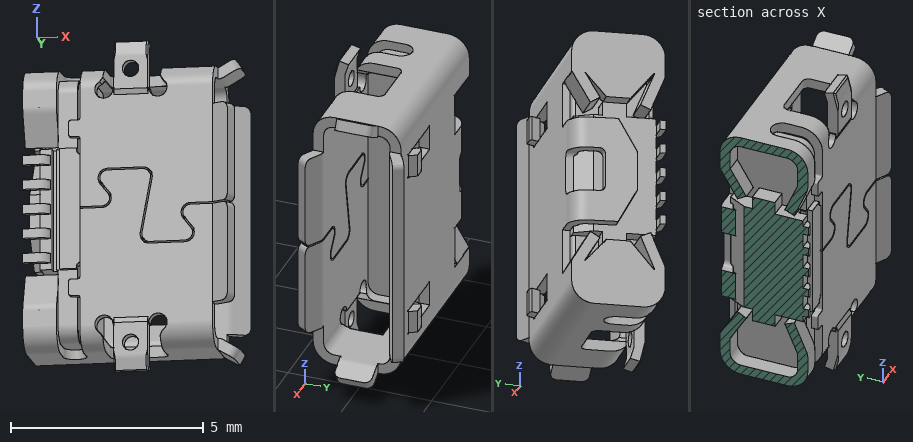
import cadquery as cq
import math


SHEET = 0.3
SHELL_LENGTH = 5.01
HALF_WIDTH = 3.75
BACK_Y = 2.5
PLATE_Y = 0.05
WING_Y = 0.0
CORNER_R = 0.6
INNER_CORNER_R = CORNER_R - SHEET
REACH = 8.8
EDGE_TOLERANCE = 0.02

WING_LENGTH = 0.9
PLATE_START = 1.505
SLOT_TOP_Y = 1.36
SLOT_R = (PLATE_START - WING_LENGTH) / 2
LUG_X = 1.21
LUG_Z = 2.11
LUG_WIDTH = 0.44
LUG_R = 0.06

BEND_Z = 2.605
FRONT_FLAP_LENGTH = 0.99
FRONT_FLAP_ANGLE = 23.0
FRONT_BEND_R = 0.44
BACK_FLAP_LENGTH = 0.97
BACK_FLAP_ANGLE = 31.0
CAP_THICKNESS = 0.44
CAP_EDGE_Z = 1.96
CAP_EDGE_Y = (0.93, 1.575)
CAP_FRONT_CORNER = (0.31, 2.69)
CAP_BACK_CORNER = (2.14, 2.59)

CLASP_X = 0.05
CLASP_TILT = 4.0
CLASP_BEND_R = 0.51
CLASP_HALF_WIDTH = 1.42
CLASP_SHOULDER_Y = 1.23
CLASP_END_Y = 0.74
CLASP_END_HALF_WIDTH = 0.54
CLASP_NOTCH_HALF_WIDTH = 0.59
CLASP_NOTCH_Y = 1.575
CLASP_NOTCH_R = 0.16
CLASP_NOTCH_END_X = 0.7

TAB_X = 2.85
WINDOW_LENGTH = 1.51
WINDOW_TOP_Y = 1.46
WINDOW_R = 0.185
WINDOW_Z = 3.12
RELIEF_R = 0.24
RELIEF_OFFSET = 0.71
RELIEF_FLARE_Z = 3.46
TAB_WIDTH = 0.9
TAB_ROOT_Z = 2.97
TAB_STEP_Z = 3.11
TAB_BEND_Z = 4.03
TAB_BEND_R = 0.44
TAB_END_Z = 4.41
TAB_TIP_ANGLE = 14.0
TAB_EDGE_CHAMFER = 0.04
TAB_HOLE_Z = 3.64
TAB_HOLE_R = 0.21

LIP_ANGLE = 30.0
LIP_LENGTH = 0.5
LIP_CORNER_R = 0.19
FRONT_LIP_HALF_WIDTH = 2.64
BACK_LIP_HALF_WIDTH = 3.045
SIDE_LIP_Y = (0.83, 1.87)

FINGER_Z = (2.04, 2.68)
FINGER_OPENING_X = (2.9, 4.47)
FINGER_GAP = 0.035
FINGER_TIP = (3.99, 2.66)
FINGER_TIP_INNER = (4.11, 2.41)
FINGER_CREST_X = (4.07, 4.34)
FINGER_CREST_Y = 2.71
FINGER_CROOK = (4.3, 2.39)

SEAM_WIDTH = 0.04
SEAM_CENTER_X = 3.26
SEAM_HEAD_Z = 0.99
SEAM_NECK_DX = 0.695
SEAM_HEAD_DX = 1.5
SEAM_SLANT_DX = 0.185
SEAM_R = 0.23

BODY_X = CAP_THICKNESS
BODY_HALF_WIDTH = 1.6
BODY_Y = (0.14, 2.3)
BODY_CHAMFER_Y = 1.81
BODY_CHAMFER_X = 0.695
GROOVE_X = 0.75
GROOVE_FLOOR_Y = 0.39
RIDGE_STEP_X = 0.85
RIDGE_X = 0.96
RIDGE_Y = 0.1
RIDGE_CHAMFER = 0.185
COLLAR_X = WING_LENGTH
COLLAR_END_X = 1.41
COLLAR_Y = 0.24
COLLAR_HALF_WIDTH = 3.49
COLLAR_R = 0.405
CROWN_R = 0.11
COLLAR_OPENING_X = 1.07
CORE_END_X = 1.76

PIN_COUNT = 5
PIN_PITCH = 0.65
PIN_WIDTH = 0.255
PIN_Y = -0.03
PIN_BEND_X = 0.47
PIN_BEND_R = 0.27
PIN_THICKNESS = 0.17


def prism_x(points, x0, x1):
    """Extrude a (Y, Z) polygon from x0 to x1."""
    return cq.Workplane("YZ").workplane(offset=x0).polyline(points).close().extrude(x1 - x0)


def prism_y(points, y0, y1):
    """Extrude an (X, Z) polygon from y0 to y1."""
    return cq.Workplane("XZ").workplane(offset=-y0).polyline(points).close().extrude(y0 - y1)


def prism_z(points, z0, z1):
    """Extrude an (X, Y) polygon from z0 to z1."""
    return cq.Workplane("XY").workplane(offset=z0).polyline(points).close().extrude(z1 - z0)


def box(x, y, z):
    """Box spanning the (low, high) pairs along each axis."""
    block = cq.Workplane("XY").box(x[1] - x[0], y[1] - y[0], z[1] - z[0], centered=False)
    return block.translate((x[0], y[0], z[0]))


def edge_box(x, y, z):
    """Selector for an edge centred on the given point."""
    low = (x - EDGE_TOLERANCE, y - EDGE_TOLERANCE, z - EDGE_TOLERANCE)
    high = (x + EDGE_TOLERANCE, y + EDGE_TOLERANCE, z + EDGE_TOLERANCE)
    return cq.selectors.BoxSelector(low, high)


def both_sides(half):
    """Add the mirror image on the other side of Z = 0."""
    return half.union(half.mirror("XY"))


def rounded_bar(x0, x1, y0, y1, half_width, radius):
    """Bar along X, centred on Z = 0, with its four long edges rounded."""
    bar = box((x0, x1), (y0, y1), (-half_width, half_width))
    return bar.edges("|X").fillet(radius)


def tube(x0, x1, y0):
    """Closed rectangular sheet-metal tube between the -Y face y0 and the +Y face."""
    outer = rounded_bar(x0, x1, y0, BACK_Y, HALF_WIDTH, CORNER_R)
    inner = rounded_bar(x0, x1, y0 + SHEET, BACK_Y - SHEET, HALF_WIDTH - SHEET, INNER_CORNER_R)
    return outer.cut(inner)


def wing_flap(face_y, inward, length, angle_deg):
    """Sheet strip bent inward from the face at face_y; inward is the sign of Y towards the middle."""
    angle = math.radians(angle_deg)
    run, drop = length * math.sin(angle), length * math.cos(angle)
    normal_y, normal_z = SHEET * math.cos(angle), SHEET * math.sin(angle)
    offsets = [
        (0, 0),
        (run, -drop),
        (run + normal_y, -drop + normal_z),
        (SHEET, SHEET * math.tan(angle / 2)),
    ]
    return prism_x([(face_y + inward * dy, BEND_Z + dz) for dy, dz in offsets], 0, WING_LENGTH)


def rear_wings():
    """Capped shell ends at the rear, with a flap bent inward from each face."""
    keep = box((0, WING_LENGTH), (WING_Y, BACK_Y), (BEND_Z, HALF_WIDTH))
    wall = tube(0, WING_LENGTH, WING_Y).intersect(keep)
    front_flap = wing_flap(WING_Y, 1, FRONT_FLAP_LENGTH, FRONT_FLAP_ANGLE)
    back_flap = wing_flap(BACK_Y, -1, BACK_FLAP_LENGTH, BACK_FLAP_ANGLE)
    cap_outline = [
        (CAP_EDGE_Y[0], CAP_EDGE_Z),
        (CAP_EDGE_Y[1], CAP_EDGE_Z),
        CAP_BACK_CORNER,
        (BACK_Y, CAP_BACK_CORNER[1]),
        (BACK_Y, HALF_WIDTH),
        (WING_Y, HALF_WIDTH),
        (WING_Y, CAP_FRONT_CORNER[1]),
        CAP_FRONT_CORNER,
    ]
    blank = rounded_bar(0, CAP_THICKNESS, WING_Y, BACK_Y, HALF_WIDTH, CORNER_R)
    cap = prism_x(cap_outline, 0, CAP_THICKNESS).intersect(blank)
    strip = wall.union(front_flap)
    bend = edge_box(WING_LENGTH / 2, WING_Y, BEND_Z)
    strip = strip.edges(bend).fillet(FRONT_BEND_R)
    return both_sides(strip.union(back_flap).union(cap))


def rear_clasp():
    """Tapered, notched strip of the +Y face folded down behind the carrier."""
    lean = math.tan(math.radians(CLASP_TILT))
    thickness_x = SHEET / math.cos(math.radians(CLASP_TILT))
    inner_y = BACK_Y - SHEET
    corner_x = CLASP_X + (BACK_Y - CLASP_END_Y) * lean
    inner_corner_x = CLASP_X + thickness_x + (inner_y - CLASP_END_Y) * lean
    section = prism_z(
        [
            (CLASP_X, CLASP_END_Y),
            (corner_x, BACK_Y),
            (WING_LENGTH, BACK_Y),
            (WING_LENGTH, inner_y),
            (inner_corner_x, inner_y),
            (CLASP_X + thickness_x, CLASP_END_Y),
        ],
        -CLASP_HALF_WIDTH,
        CLASP_HALF_WIDTH,
    )
    section = section.edges(edge_box(corner_x, BACK_Y, 0)).fillet(CLASP_BEND_R)
    section = section.edges(edge_box(inner_corner_x, inner_y, 0)).fillet(CLASP_BEND_R - SHEET)
    outline = [
        (BACK_Y, CLASP_HALF_WIDTH),
        (CLASP_SHOULDER_Y, CLASP_HALF_WIDTH),
        (CLASP_END_Y, CLASP_END_HALF_WIDTH),
        (CLASP_END_Y, -CLASP_END_HALF_WIDTH),
        (CLASP_SHOULDER_Y, -CLASP_HALF_WIDTH),
        (BACK_Y, -CLASP_HALF_WIDTH),
    ]
    notch = box(
        (0, CLASP_NOTCH_END_X),
        (CLASP_NOTCH_Y, BACK_Y),
        (-CLASP_NOTCH_HALF_WIDTH, CLASP_NOTCH_HALF_WIDTH),
    )
    notch = notch.edges("|X and <Y").fillet(CLASP_NOTCH_R).edges("|Y and >X").fillet(CLASP_NOTCH_R)
    return section.intersect(prism_x(outline, 0, WING_LENGTH)).cut(notch)


def wing_slot():
    """Round-ended cut that parts the wings from the plate on the -Y side and both flanks."""
    middle_x = (WING_LENGTH + PLATE_START) / 2
    straight_top = SLOT_TOP_Y - SLOT_R
    straight = box((WING_LENGTH, PLATE_START), (-REACH, straight_top), (-REACH, REACH))
    end = cq.Workplane("XY").center(middle_x, straight_top).circle(SLOT_R).extrude(REACH, both=True)
    return straight.union(end)


def add_plate_lugs(body):
    """Add the two rear lugs of the -Y plate, rounding their corners and roots."""
    lug = box(
        (LUG_X, PLATE_START + SHEET),
        (PLATE_Y, PLATE_Y + SHEET),
        (LUG_Z - LUG_WIDTH / 2, LUG_Z + LUG_WIDTH / 2),
    )
    body = body.union(both_sides(lug.edges("|Y and <X").fillet(LUG_R)))
    for side in (-1, 1):
        for end in (-1, 1):
            root_z = side * (LUG_Z + end * LUG_WIDTH / 2)
            root = edge_box(PLATE_START, PLATE_Y + SHEET / 2, root_z)
            body = body.edges(root).fillet(LUG_R)
    return body


def collar_openings():
    """Cut-backs of the +Y plate, beside the clasp, that bare the rounded edge of the collar."""
    return both_sides(
        box((WING_LENGTH, COLLAR_OPENING_X), (BACK_Y - SHEET, BACK_Y), (CLASP_HALF_WIDTH, BEND_Z))
    )


def side_windows():
    """Openings in the flanks, with round reliefs beside each solder tab."""
    half_length = WINDOW_LENGTH / 2
    opening = box(
        (TAB_X - half_length, TAB_X + half_length), (-REACH, WINDOW_TOP_Y), (WINDOW_Z, REACH)
    )
    opening = opening.edges("|Z and >Y").fillet(WINDOW_R)
    reliefs = (
        cq.Workplane("XZ")
        .workplane(offset=-WINDOW_TOP_Y)
        .pushPoints([(TAB_X - RELIEF_OFFSET, WINDOW_Z), (TAB_X + RELIEF_OFFSET, WINDOW_Z)])
        .circle(RELIEF_R)
        .extrude(REACH)
    )
    relief_reach = RELIEF_OFFSET + RELIEF_R
    flare_outline = [
        (TAB_X - half_length, RELIEF_FLARE_Z),
        (TAB_X - relief_reach, WINDOW_Z),
        (TAB_X + relief_reach, WINDOW_Z),
        (TAB_X + half_length, RELIEF_FLARE_Z),
    ]
    flare = prism_y(flare_outline, -REACH, WINDOW_TOP_Y)
    return both_sides(opening.union(reliefs).union(flare))


def solder_tabs():
    """Pads stepped out from the -Y plate, with a hole and a tip bent towards +Y."""
    tilt = math.tan(math.radians(TAB_TIP_ANGLE))
    tip_shift = (TAB_END_Z - TAB_BEND_Z) * tilt
    section = [
        (PLATE_Y, TAB_ROOT_Z),
        (WING_Y, TAB_STEP_Z),
        (WING_Y, TAB_BEND_Z),
        (tip_shift, TAB_END_Z),
        (tip_shift + SHEET, TAB_END_Z - SHEET * tilt),
        (WING_Y + SHEET, TAB_BEND_Z),
        (WING_Y + SHEET, TAB_STEP_Z),
        (PLATE_Y + SHEET, TAB_ROOT_Z),
    ]
    tab = prism_x(section, TAB_X - TAB_WIDTH / 2, TAB_X + TAB_WIDTH / 2)
    tip_middle_z = (TAB_BEND_Z + TAB_END_Z) / 2
    for edge_x in (TAB_X - TAB_WIDTH / 2, TAB_X + TAB_WIDTH / 2):
        tip_edges = edge_box(edge_x, WING_Y + tip_shift / 2, tip_middle_z)
        tab = tab.edges(tip_edges).chamfer(TAB_EDGE_CHAMFER)
    tab = tab.edges(edge_box(TAB_X, tip_shift, TAB_END_Z)).chamfer(TAB_EDGE_CHAMFER)
    bend = edge_box(TAB_X, WING_Y, TAB_BEND_Z)
    tab = tab.edges(bend).fillet(TAB_BEND_R)
    hole = cq.Workplane("XZ").center(TAB_X, TAB_HOLE_Z).circle(TAB_HOLE_R).extrude(REACH, both=True)
    return both_sides(tab.cut(hole))


def lip(width):
    """Lip flaring towards +Y from a wall whose outer face is Y = 0, centred on Z = 0."""
    angle = math.radians(LIP_ANGLE)
    run, rise = LIP_LENGTH * math.cos(angle), LIP_LENGTH * math.sin(angle)
    half_angle = angle / 2
    plain = (
        cq.Workplane("XY")
        .workplane(offset=-width / 2)
        .lineTo(run, rise)
        .lineTo(run + SHEET * math.sin(angle), rise - SHEET * math.cos(angle))
        .lineTo(SHEET * math.sin(angle), -SHEET * math.cos(angle))
        .threePointArc((SHEET * math.sin(half_angle), -SHEET * math.cos(half_angle)), (0, -SHEET))
        .close()
        .extrude(width)
    )
    end_corners = plain.faces(">X").edges("not |Z")
    return end_corners.fillet(LIP_CORNER_R).translate((SHELL_LENGTH, 0, 0))


def mouth_lips():
    """Lips on all four walls; the -Y lip is split in two by the seam."""
    back = lip(2 * BACK_LIP_HALF_WIDTH).translate((0, BACK_Y, 0))
    front_half = lip(FRONT_LIP_HALF_WIDTH).mirror("XZ")
    front = both_sides(front_half.translate((0, PLATE_Y, FRONT_LIP_HALF_WIDTH / 2)))
    side_middle_y = sum(SIDE_LIP_Y) / 2
    side = lip(SIDE_LIP_Y[1] - SIDE_LIP_Y[0]).rotate((0, 0, 0), (1, 0, 0), 90)
    sides = both_sides(side.translate((0, side_middle_y, HALF_WIDTH)))
    return back.union(front).union(sides)


def latch_openings():
    """Openings in the +Y plate around the latch fingers."""
    z_range = (FINGER_Z[0] - FINGER_GAP, FINGER_Z[1] + FINGER_GAP)
    return both_sides(box(FINGER_OPENING_X, (BACK_Y - SHEET, BACK_Y), z_range))


def latch_fingers():
    """Hooked strips that rise out of the +Y plate openings."""
    root_x = FINGER_OPENING_X[1]
    section = [
        FINGER_TIP,
        (FINGER_CREST_X[0], FINGER_CREST_Y),
        (FINGER_CREST_X[1], FINGER_CREST_Y),
        (root_x, BACK_Y),
        (root_x, BACK_Y - SHEET),
        FINGER_CROOK,
        FINGER_TIP_INNER,
    ]
    return both_sides(prism_z(section, *FINGER_Z))


def seam():
    """Narrow dovetail-shaped cut through the -Y plate; the path is point-symmetric."""
    half_path = [
        (SEAM_NECK_DX, 0),
        (SEAM_HEAD_DX, SEAM_HEAD_Z),
        (-SEAM_SLANT_DX, SEAM_HEAD_Z),
    ]
    left = [(SEAM_CENTER_X - dx, dz) for dx, dz in half_path]
    right = [(SEAM_CENTER_X + dx, -dz) for dx, dz in reversed(half_path)]
    closing = [(REACH, 0), (REACH, REACH), (-REACH, REACH), (-REACH, 0)]
    start_y, end_y = -SHEET, PLATE_Y + SHEET
    region = prism_y(left + right + closing, start_y, end_y).edges("|Y").fillet(SEAM_R)
    path = region.faces("<Y").wires().val()
    outer = path.offset2D(SEAM_WIDTH / 2)[0]
    inner = path.offset2D(-SEAM_WIDTH / 2)[0]
    return cq.Workplane(cq.Solid.extrudeLinear(outer, [inner], cq.Vector(0, end_y - start_y, 0)))


def shell():
    """All the sheet-metal features together."""
    body = tube(WING_LENGTH, SHELL_LENGTH, PLATE_Y).cut(wing_slot()).cut(side_windows())
    body = body.cut(latch_openings()).cut(collar_openings())
    body = add_plate_lugs(body)
    body = body.union(rear_wings()).union(rear_clasp())
    body = body.union(mouth_lips()).cut(seam())
    return body.union(solder_tabs()).union(latch_fingers())


def carrier():
    """Plastic block with its groove, ridge, neck, collar and core."""
    ridge_top_y = PLATE_Y + SHEET
    section = [
        (BODY_X, BODY_Y[0]),
        (GROOVE_X, BODY_Y[0]),
        (GROOVE_X, GROOVE_FLOOR_Y),
        (RIDGE_STEP_X, GROOVE_FLOOR_Y),
        (RIDGE_STEP_X, COLLAR_Y),
        (RIDGE_X, COLLAR_Y),
        (RIDGE_X, RIDGE_Y),
        (COLLAR_END_X, RIDGE_Y),
        (COLLAR_END_X, BODY_Y[1]),
        (BODY_CHAMFER_X, BODY_Y[1]),
        (BODY_X, BODY_CHAMFER_Y),
    ]
    block = prism_z(section, -BODY_HALF_WIDTH, BODY_HALF_WIDTH)
    ridge = box(
        (RIDGE_X, PLATE_START), (RIDGE_Y, ridge_top_y), (-BODY_HALF_WIDTH, BODY_HALF_WIDTH)
    )
    ridge = ridge.edges("|Y and >X").chamfer(RIDGE_CHAMFER)
    neck = box((BODY_X, COLLAR_END_X), CAP_EDGE_Y, (-CAP_EDGE_Z, CAP_EDGE_Z))
    collar = rounded_bar(
        COLLAR_X, COLLAR_END_X, COLLAR_Y, BACK_Y - SHEET, COLLAR_HALF_WIDTH, COLLAR_R
    )
    crown = box((COLLAR_X, COLLAR_END_X), (BODY_CHAMFER_Y, BODY_Y[1]), (-BEND_Z, BEND_Z))
    crown = crown.edges("|Z and <X and >Y").fillet(CROWN_R)
    core = rounded_bar(
        COLLAR_END_X, CORE_END_X, PLATE_Y + SHEET, BACK_Y - SHEET, HALF_WIDTH - SHEET, INNER_CORNER_R
    )
    return block.union(ridge).union(neck).union(collar).union(crown).union(core)


def pins():
    """Contact tails whose inner ends curve towards +Y into the carrier."""
    end_x = PIN_BEND_X + PIN_BEND_R
    diagonal = PIN_BEND_R * math.sqrt(0.5)
    pin = (
        cq.Workplane("XY")
        .workplane(offset=-PIN_WIDTH / 2)
        .moveTo(0, PIN_Y)
        .lineTo(PIN_BEND_X, PIN_Y)
        .threePointArc(
            (PIN_BEND_X + diagonal, PIN_Y + PIN_BEND_R - diagonal), (end_x, PIN_Y + PIN_BEND_R)
        )
        .lineTo(PIN_BEND_X, PIN_Y + PIN_BEND_R)
        .lineTo(PIN_BEND_X, PIN_Y + PIN_THICKNESS)
        .lineTo(0, PIN_Y + PIN_THICKNESS)
        .close()
        .extrude(PIN_WIDTH)
    )
    row = cq.Workplane("XY")
    for index in range(PIN_COUNT):
        row = row.union(pin.translate((0, 0, (index - (PIN_COUNT - 1) / 2) * PIN_PITCH)))
    return row


result = shell().union(carrier()).union(pins())